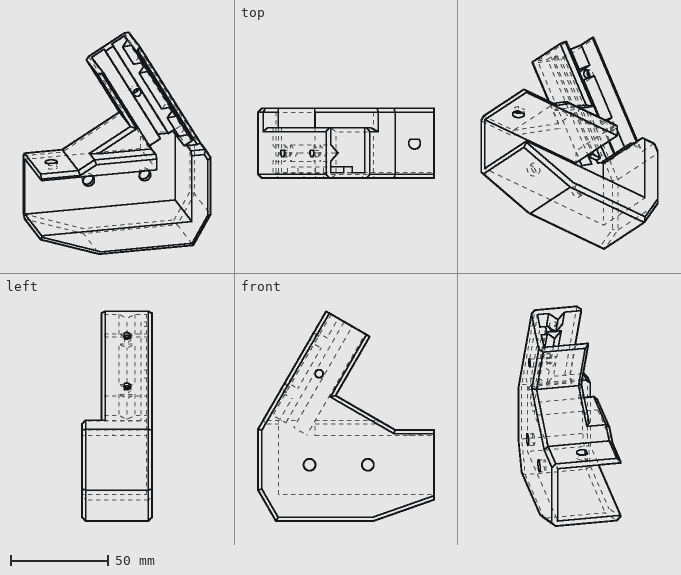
import cadquery as cq
import math


length = 90.5
body_depth = 36.0
body_top = 47.0
step_top = 52.0
left_bottom = 16.0
corner_angle = math.radians(60)
bottom_left = left_bottom / math.tan(corner_angle)
bottom_right = 59.2
chamfer = 2.0

arm_angle = math.radians(60)
arm_root_height = 47.32
arm_length = 70.0
arm_width = 26.0
arm_depth = 26.0
arm_inner_side = 35.05

wall = 3.0
clearance = 0.1
main_size = 30.0
main_center_z = body_top - wall - main_size / 2
main_insertion = 80.0
main_stop = length - main_insertion
arm_extrusion_size = 20.0
arm_socket_size = arm_extrusion_size + 2 * clearance
arm_wall = (arm_width - arm_socket_size) / 2
arm_socket_length = 60.0
relief_right = 29.2
right_bottom = main_center_z - main_size / 2 - wall

arm_center_y = arm_depth / 2
v_rib_width = 8.3
v_rib_height = 4.2
v_rib_gap = 6.0
flat_rib_width = 4.8
flat_rib_height = 3.0

main_hole = 6.0
first_front_hole_x = 26.5
front_hole_pitch = 30.0
front_hole_xs = (first_front_hole_x, first_front_hole_x + front_hole_pitch)
top_hole_margin = 10.0
top_hole_x = length - top_hole_margin
top_hole_y = body_depth / 2
arm_hole = 4.0
arm_hole_margin = 14.6
arm_side_hole_pitch = 30.0
arm_side_hole_distances = (arm_hole_margin, arm_hole_margin + arm_side_hole_pitch)
arm_front_hole_distance = arm_hole_margin + arm_side_hole_pitch / 2
flat_ratio = 0.7

tolerance = 1e-4

arm_tip = (
    arm_length * math.cos(arm_angle),
    arm_root_height + arm_length * math.sin(arm_angle),
)


def arm_point(across, down):
    """X and Z of a point in the arm, measured across from its left side and down from its tip."""
    x = arm_tip[0] + across * math.sin(arm_angle) - down * math.cos(arm_angle)
    z = arm_tip[1] - across * math.cos(arm_angle) - down * math.sin(arm_angle)
    return x, z


def prism(points, y_start, y_end):
    """Solid with an outline in XZ, reaching from y_start to y_end."""
    plane = cq.Workplane("XZ", origin=(0, y_start, 0))
    return plane.polyline(points).close().extrude(y_start - y_end)


def arm_prism(across_start, across_end, down_start, down_end, y_start, y_end):
    """Block aligned with the arm."""
    corners = [
        arm_point(across_start, down_start),
        arm_point(across_end, down_start),
        arm_point(across_end, down_end),
        arm_point(across_start, down_end),
    ]
    return prism(corners, y_start, y_end)


def is_open_end(edge):
    """True for an edge on the end of the arm or on the right end of the body."""
    center = edge.Center()
    tip_middle = arm_point(arm_width / 2, 0)
    on_arm_end = math.hypot(center.x - tip_middle[0], center.z - tip_middle[1]) < tolerance
    return on_arm_end or abs(center.x - length) < tolerance


def chamfer_outline(solid, face_selector):
    """Chamfer the outline of a front or back face, leaving the open ends sharp."""
    edges = solid.faces(face_selector).edges().vals()
    sides = [edge for edge in edges if not is_open_end(edge)]
    return solid.newObject(sides).chamfer(chamfer)


def make_outer_shape():
    """Chamfered bracket without sockets; only the part below the step has the full depth."""
    inner_corner = arm_point(arm_width, arm_inner_side)
    slope_run = (inner_corner[1] - body_top) * math.tan(arm_angle)
    outline = [
        (bottom_left, 0),
        (bottom_right, 0),
        (length, right_bottom),
        (length, body_top),
        (inner_corner[0] + slope_run, body_top),
        inner_corner,
        arm_point(arm_width, 0),
        arm_tip,
        (0, arm_root_height),
        (0, left_bottom),
    ]
    front = prism(outline, 0, arm_depth)
    front = chamfer_outline(front, "<Y")
    front = chamfer_outline(front, ">Y")
    below_step = cq.Workplane("XY").box(length, body_depth, step_top, centered=False)
    back = prism(outline, chamfer, body_depth).intersect(below_step)
    back = chamfer_outline(back, ">Y")
    return front.union(back)


def make_sockets():
    """Space for both extrusions, open to the back, with the guide ribs left standing."""
    half = main_size / 2 + clearance
    main_socket = (
        cq.Workplane("XY")
        .box(main_insertion, body_depth - wall, 2 * half, centered=False)
        .translate((main_stop, wall, main_center_z - half))
    )
    relief = (
        cq.Workplane("XY")
        .box(relief_right - main_stop, body_depth - wall, step_top - main_center_z, centered=False)
        .translate((main_stop, wall, main_center_z))
    )
    arm_socket = arm_prism(
        arm_wall, arm_width - arm_wall, 0, arm_socket_length, arm_wall, body_depth
    )
    return arm_socket.cut(make_ribs()).union(relief).union(main_socket)


def make_ribs():
    middle = arm_width / 2
    flat_rib = arm_prism(
        middle - flat_rib_width / 2,
        middle + flat_rib_width / 2,
        0,
        arm_socket_length,
        arm_wall,
        arm_wall + flat_rib_height,
    )
    return flat_rib.union(make_v_rib())


def make_v_rib():
    """Rib on the arm's left wall, broken around the screw holes."""
    root = arm_point(arm_wall, 0)
    plane = cq.Plane(
        origin=(root[0], arm_center_y, root[1]),
        xDir=(math.sin(arm_angle), 0, -math.cos(arm_angle)),
        normal=(-math.cos(arm_angle), 0, -math.sin(arm_angle)),
    )
    profile = [(0, -v_rib_width / 2), (v_rib_height, 0), (0, v_rib_width / 2)]
    rib = cq.Workplane(plane).polyline(profile).close().extrude(arm_socket_length)
    for distance in arm_side_hole_distances:
        gap_start = distance - v_rib_gap / 2
        rib = rib.cut(
            arm_prism(
                arm_wall,
                arm_wall + v_rib_height,
                gap_start,
                gap_start + v_rib_gap,
                arm_wall,
                arm_depth,
            )
        )
    return rib


def flat_sided_hole(plane, diameter, depth):
    """Hole along the plane's normal, cut flat on its +Y side (the plane's local Y must be global Y)."""
    radius = diameter / 2
    flat = flat_ratio * radius
    keep = cq.Workplane(plane).center(0, flat - radius).rect(diameter, diameter).extrude(depth)
    return cq.Workplane(plane).circle(radius).extrude(depth).intersect(keep)


def front_hole(x, z, diameter, depth):
    return cq.Workplane("XZ", origin=(x, 0, z)).circle(diameter / 2).extrude(-depth)


def make_holes():
    top_plane = cq.Plane(origin=(top_hole_x, top_hole_y, main_center_z), xDir=(1, 0, 0), normal=(0, 0, 1))
    holes = flat_sided_hole(top_plane, main_hole, body_top - main_center_z)
    for x in front_hole_xs:
        holes = holes.union(front_hole(x, main_center_z, main_hole, body_depth))
    arm_x, arm_z = arm_point(arm_width / 2, arm_front_hole_distance)
    holes = holes.union(front_hole(arm_x, arm_z, arm_hole, arm_depth))
    for distance in arm_side_hole_distances:
        x, z = arm_point(0, distance)
        plane = cq.Plane(
            origin=(x, arm_center_y, z),
            xDir=(-math.cos(arm_angle), 0, -math.sin(arm_angle)),
            normal=(math.sin(arm_angle), 0, -math.cos(arm_angle)),
        )
        holes = holes.union(flat_sided_hole(plane, arm_hole, arm_width / 2))
    return holes


result = make_outer_shape().cut(make_sockets()).cut(make_holes())